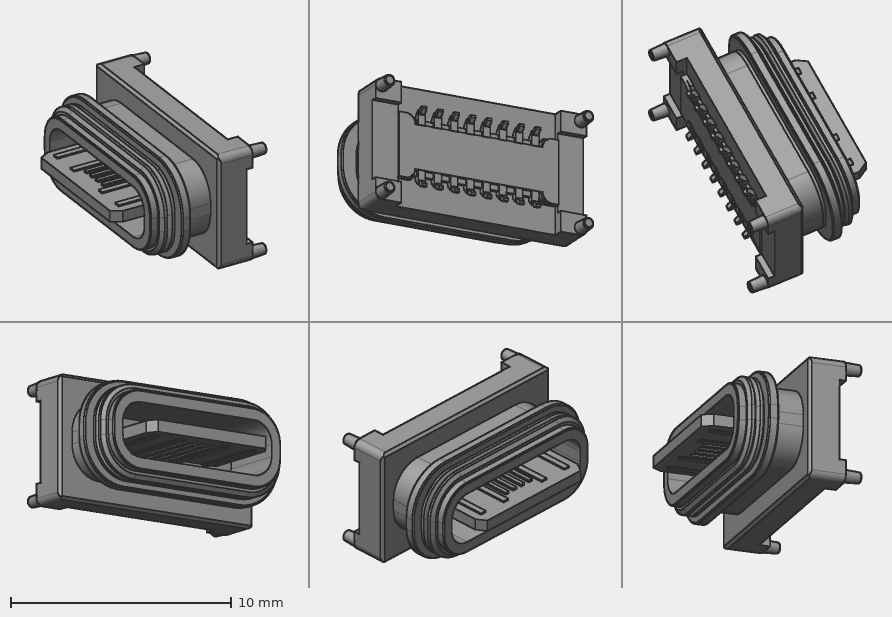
import cadquery as cq


HOUSING_WIDTH = 10.84
HOUSING_HEIGHT = 5.84
HOUSING_DEPTH = 1.81
HOUSING_CORNER_RADIUS = 0.34
HOUSING_CHAMFER = 0.14

SIDE_RELIEF_HEIGHT = 3.83
SIDE_RELIEF_FLOOR = 1.5
REAR_NOTCH_WIDTH = 8.2
REAR_NOTCH_FLOOR = 1.28
REAR_BLOCK_HEIGHT = 3.12
REAR_BLOCK_TOP = 1.6
UPPER_RECESS_WIDTH = 7.5
UPPER_RECESS_FLOOR = 1.44
UPPER_RECESS_RADIUS = 0.48
LOWER_RECESS_WIDTH = 6.83
LOWER_RECESS_DEPTH = 0.21

POST_X = 5.11
POST_Z = 2.58
POST_BASE_DIAMETER = 0.61
POST_TIP_DIAMETER = 0.52
POST_TIP = 2.61
POST_CHAMFER = 0.05

LEAD_COUNT = 8
LEAD_PITCH = 0.83
LEAD_TIP_WIDTH = 0.24
LEAD_ROOT_WIDTH = 0.38
LEAD_TIP = 1.84
LEAD_OUTER_Z = SIDE_RELIEF_HEIGHT / 2
LEAD_TIP_THICKNESS = 0.11
LEAD_BEND = 1.67
LEAD_ROOT_TOP = 1.56
LEAD_SLOPE_END = 1.64

SHELL_STRAIGHT = 6.3
SHELL_FLAT = 0.56
SHELL_RADIUS = 1.57
CAVITY_RADIUS = 1.01
SHELL_END = -3.17
NOSE_FLAT = 0.65
NOSE_RADIUS = 1.53
NOSE_CHAMFER = 0.05

SEAL_FLAT = 0.7
SEAL_COLLAR_START_RADIUS = 1.51
SEAL_COLLAR_END_RADIUS = 1.54
SEAL_START = -1.3
RIDGE_ROOT_RADIUS = 1.65
RIDGE_CREST_RADIUS = 1.85
RIDGE_CREST_WIDTH = 0.15
RIDGE_FLANKS = [(-1.94, -2.06, -2.34), (-2.34, -2.46, -2.76)]

FLANGE_STRAIGHT = 6.5
FLANGE_FLAT = 0.65
FLANGE_RADIUS = (HOUSING_WIDTH - FLANGE_STRAIGHT) / 2
FLANGE_START = -1.45
FLANGE_END = RIDGE_FLANKS[0][0]
FLANGE_CHAMFER = 0.07

TONGUE_WIDTH = 6.62
TONGUE_THICKNESS = SHELL_FLAT
TONGUE_TIP = -4.3
TONGUE_CHAMFER_X = 0.3
TONGUE_CHAMFER_Y = 0.49

LONG_CONTACT_X = (1.24, 2.7)
LONG_CONTACT_WIDTH = 0.31
LONG_CONTACT_END = -3.74
LONG_CONTACT_RISE = 0.07
SHORT_CONTACT_X = (0.25, 0.75)
SHORT_CONTACT_WIDTH = 0.22
SHORT_CONTACT_END = -3.34
SHORT_CONTACT_RISE = 0.1


def box(width, y_start, y_end, height):
    """Box centred on the Y axis between two Y positions."""
    return cq.Workplane("XY").box(width, abs(y_end - y_start), height).translate(
        (0, (y_start + y_end) / 2, 0)
    )


def section(y):
    """Sketch plane facing -Y at the given Y position."""
    return cq.Workplane("XZ", origin=(0, y, 0))


def oval_sketch(straight, flat, radius):
    """Outline with two long straights, two short flats and four corner arcs."""
    return cq.Sketch().rect(straight + 2 * radius, flat + 2 * radius).vertices().fillet(radius)


def oval(straight, flat, radius, y_start, y_end):
    """Oval prism running towards -Y."""
    return section(y_start).placeSketch(oval_sketch(straight, flat, radius)).extrude(y_start - y_end)


def tapered_seal(radius_start, radius_end, y_start, y_end):
    """Seal oval whose corner radius changes along Y."""
    start = oval_sketch(SHELL_STRAIGHT, SEAL_FLAT, radius_start)
    end = oval_sketch(SHELL_STRAIGHT, SEAL_FLAT, radius_end)
    end = end.moved(cq.Location(cq.Vector(0, 0, y_start - y_end)))
    return section(y_start).placeSketch(start, end).loft()


def make_housing():
    chamfered = box(HOUSING_WIDTH, 0, HOUSING_DEPTH, HOUSING_HEIGHT).faces("<Y").chamfer(HOUSING_CHAMFER)
    rounded = box(HOUSING_WIDTH, 0, HOUSING_DEPTH, HOUSING_HEIGHT).edges("|Y").fillet(HOUSING_CORNER_RADIUS)
    housing = chamfered.intersect(rounded)
    housing = housing.cut(box(HOUSING_WIDTH, SIDE_RELIEF_FLOOR, HOUSING_DEPTH, SIDE_RELIEF_HEIGHT))
    housing = housing.cut(box(REAR_NOTCH_WIDTH, REAR_NOTCH_FLOOR, HOUSING_DEPTH, HOUSING_HEIGHT))
    return housing.union(make_rear_block())


def make_rear_block():
    """Block between the lead rows, with stepped recesses along both long sides."""
    block = box(REAR_NOTCH_WIDTH, REAR_NOTCH_FLOOR, REAR_BLOCK_TOP, REAR_BLOCK_HEIGHT)
    upper = make_upper_recess()
    lower = make_lower_recess()
    for recess in (upper, lower, upper.mirror("XY"), lower.mirror("XY")):
        block = block.cut(recess)
    return block


def make_upper_recess():
    """Recess whose two ends flare out to the block side in convex quarter arcs."""
    half_width = UPPER_RECESS_WIDTH / 2
    outer_z = REAR_BLOCK_HEIGHT / 2
    inner_z = outer_z - UPPER_RECESS_RADIUS
    inner_half_width = half_width - UPPER_RECESS_RADIUS
    return (
        section(REAR_BLOCK_TOP)
        .moveTo(-half_width, outer_z)
        .lineTo(half_width, outer_z)
        .radiusArc((inner_half_width, inner_z), -UPPER_RECESS_RADIUS)
        .lineTo(-inner_half_width, inner_z)
        .radiusArc((-half_width, outer_z), -UPPER_RECESS_RADIUS)
        .close()
        .extrude(REAR_BLOCK_TOP - UPPER_RECESS_FLOOR)
    )


def make_lower_recess():
    """Shallower recess below the upper one, with 45 degree ends."""
    half_width = LOWER_RECESS_WIDTH / 2
    outer_z = REAR_BLOCK_HEIGHT / 2
    inner_z = outer_z - LOWER_RECESS_DEPTH
    inner_half_width = half_width - LOWER_RECESS_DEPTH
    return (
        section(UPPER_RECESS_FLOOR)
        .moveTo(-half_width, outer_z)
        .lineTo(half_width, outer_z)
        .lineTo(inner_half_width, inner_z)
        .lineTo(-inner_half_width, inner_z)
        .close()
        .extrude(UPPER_RECESS_FLOOR - REAR_NOTCH_FLOOR)
    )


def make_posts():
    base = section(HOUSING_DEPTH).circle(POST_BASE_DIAMETER / 2)
    post = base.workplane(offset=HOUSING_DEPTH - POST_TIP).circle(POST_TIP_DIAMETER / 2).loft()
    post = post.faces(">Y").chamfer(POST_CHAMFER)
    posts = cq.Workplane("XY")
    for x in (-POST_X, POST_X):
        for z in (-POST_Z, POST_Z):
            posts = posts.add(post.translate((x, 0, z)))
    return posts.combine()


def make_lead():
    """One upper lead: a wide 45 degree root and a narrow bent tip."""
    root_z = LEAD_OUTER_Z - (LEAD_BEND - LEAD_ROOT_TOP)
    embed_z = REAR_BLOCK_HEIGHT / 2 - UPPER_RECESS_RADIUS
    inner_tip_z = LEAD_OUTER_Z - LEAD_TIP_THICKNESS
    slope_end_z = inner_tip_z - (LEAD_TIP - LEAD_SLOPE_END)
    tip_outline = [
        (LEAD_TIP, LEAD_OUTER_Z),
        (LEAD_BEND, LEAD_OUTER_Z),
        (LEAD_ROOT_TOP, root_z),
        (LEAD_ROOT_TOP, slope_end_z),
        (LEAD_SLOPE_END, slope_end_z),
        (LEAD_TIP, inner_tip_z),
    ]
    root_outline = [
        (LEAD_ROOT_TOP, root_z),
        (REAR_NOTCH_FLOOR, root_z - (LEAD_ROOT_TOP - REAR_NOTCH_FLOOR)),
        (REAR_NOTCH_FLOOR, embed_z),
        (LEAD_ROOT_TOP, embed_z),
    ]
    tip = cq.Workplane("YZ").polyline(tip_outline).close().extrude(LEAD_TIP_WIDTH / 2, both=True)
    root = cq.Workplane("YZ").polyline(root_outline).close().extrude(LEAD_ROOT_WIDTH / 2, both=True)
    return tip.union(root)


def make_leads():
    upper = make_lead()
    lower = upper.mirror("XY")
    leads = cq.Workplane("XY")
    for index in range(LEAD_COUNT):
        x = (index - (LEAD_COUNT - 1) / 2) * LEAD_PITCH
        leads = leads.add(upper.translate((x, 0, 0))).add(lower.translate((x, 0, 0)))
    return leads.combine()


def make_shell():
    """Neck, seal collar, flange, two seal ridges and nose, all still solid inside."""
    neck = oval(SHELL_STRAIGHT, SHELL_FLAT, SHELL_RADIUS, 0, SEAL_START)
    collar = tapered_seal(SEAL_COLLAR_START_RADIUS, SEAL_COLLAR_END_RADIUS, SEAL_START, FLANGE_START)
    flange = oval(FLANGE_STRAIGHT, FLANGE_FLAT, FLANGE_RADIUS, FLANGE_START, FLANGE_END)
    flange = flange.faces("<Y or >Y").chamfer(FLANGE_CHAMFER)
    shell = neck.union(collar).union(flange)
    for start, crest, end in RIDGE_FLANKS:
        crest_end = crest - RIDGE_CREST_WIDTH
        shell = shell.union(tapered_seal(RIDGE_ROOT_RADIUS, RIDGE_CREST_RADIUS, start, crest))
        shell = shell.union(tapered_seal(RIDGE_CREST_RADIUS, RIDGE_CREST_RADIUS, crest, crest_end))
        shell = shell.union(tapered_seal(RIDGE_CREST_RADIUS, RIDGE_ROOT_RADIUS, crest_end, end))
    return shell.union(make_nose())


def make_nose():
    """Bare end of the shell in front of the seal."""
    nose_start = RIDGE_FLANKS[-1][-1]
    nose = oval(SHELL_STRAIGHT, NOSE_FLAT, NOSE_RADIUS, nose_start, SHELL_END)
    return nose.faces("<Y").chamfer(NOSE_CHAMFER)


def make_contact(x, side, width, end, rise):
    """Contact bar lying on the upper (side 1) or lower (side -1) tongue face."""
    height = TONGUE_THICKNESS / 2 + rise
    return box(width, 0, end, height).translate((x, 0, side * height / 2))


def make_tongue():
    tongue = box(TONGUE_WIDTH, 0, TONGUE_TIP, TONGUE_THICKNESS)
    half_width = TONGUE_WIDTH / 2
    for side in (1, -1):
        corner = (
            cq.Workplane("XY")
            .moveTo(side * half_width, TONGUE_TIP)
            .lineTo(side * (half_width - TONGUE_CHAMFER_X), TONGUE_TIP)
            .lineTo(side * half_width, TONGUE_TIP + TONGUE_CHAMFER_Y)
            .close()
            .extrude(TONGUE_THICKNESS, both=True)
        )
        tongue = tongue.cut(corner)
    contact_rows = (
        (LONG_CONTACT_X, LONG_CONTACT_WIDTH, LONG_CONTACT_END, LONG_CONTACT_RISE),
        (SHORT_CONTACT_X, SHORT_CONTACT_WIDTH, SHORT_CONTACT_END, SHORT_CONTACT_RISE),
    )
    for distances, width, end, rise in contact_rows:
        for distance in distances:
            for x in (-distance, distance):
                for side in (1, -1):
                    tongue = tongue.union(make_contact(x, side, width, end, rise))
    return tongue


cavity = oval(SHELL_STRAIGHT, SHELL_FLAT, CAVITY_RADIUS, 0, SHELL_END)
socket = make_shell().cut(cavity)
rear = make_housing().union(make_posts()).union(make_leads())
result = rear.union(socket).union(make_tongue())